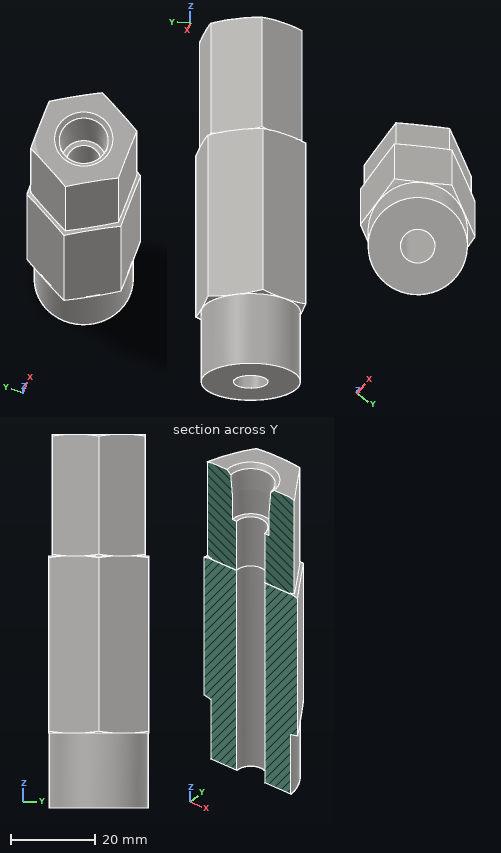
import cadquery as cq
import math

TOTAL_HEIGHT = 88.9
SPIGOT_HEIGHT = 17.9
HOUSING_HEIGHT = 60.0

HEXAGON_SIDES = 6
HOUSING_ACROSS_FLATS = 23.8
NUT_ACROSS_FLATS = 22.2
SPIGOT_DIAMETER = 23.65

CHAMFER_ANGLE = 15.0
CHAMFER_OVERSIZE = 0.45

MOUTH_DIAMETER = 13.9
SOCKET_DIAMETER = 11.65
RELIEF_DIAMETER = 10.7
SOCKET_DEPTH = 7.0
RELIEF_DEPTH = 14.2
THROUGH_DIAMETER = 8.2

MOUTH_DEPTH = (MOUTH_DIAMETER - SOCKET_DIAMETER) / 2


def chamfered_hexagon(across_flats, bottom, top):
    """Hexagonal prism with corners on X, turned to a cone at both ends."""
    corner_diameter = across_flats / math.cos(math.pi / HEXAGON_SIDES)
    corner_radius = corner_diameter / 2
    face_radius = (across_flats + CHAMFER_OVERSIZE) / 2
    drop = (corner_radius - face_radius) * math.tan(math.radians(CHAMFER_ANGLE))

    base = cq.Workplane("XY").workplane(offset=bottom)
    prism = base.polygon(HEXAGON_SIDES, corner_diameter).extrude(top - bottom)
    turned_envelope = (
        cq.Workplane("XZ")
        .moveTo(0, bottom)
        .lineTo(face_radius, bottom)
        .lineTo(corner_radius, bottom + drop)
        .lineTo(corner_radius, top - drop)
        .lineTo(face_radius, top)
        .lineTo(0, top)
        .close()
        .revolve(360, (0, 0, 0), (0, 1, 0))
    )
    return prism.intersect(turned_envelope)


def bore(diameter, bottom, top):
    """Cylinder on the Z axis, used as a cutting tool."""
    return cq.Workplane("XY").workplane(offset=bottom).circle(diameter / 2).extrude(top - bottom)


def make_housing():
    """Hexagonal housing with a round spigot below and a plain through bore."""
    hexagon = chamfered_hexagon(HOUSING_ACROSS_FLATS, SPIGOT_HEIGHT, HOUSING_HEIGHT)
    spigot = cq.Workplane("XY").circle(SPIGOT_DIAMETER / 2).extrude(SPIGOT_HEIGHT)
    return hexagon.union(spigot).cut(bore(THROUGH_DIAMETER, 0, HOUSING_HEIGHT))


def tapered_bore(bottom_diameter, top_diameter, bottom, top):
    """Truncated cone on the Z axis, used as a cutting tool."""
    return (
        cq.Workplane("XY")
        .workplane(offset=bottom)
        .circle(bottom_diameter / 2)
        .workplane(offset=top - bottom)
        .circle(top_diameter / 2)
        .loft()
    )


def make_nut():
    """Hexagonal end piece with a countersunk, tapered socket open at the top."""
    mouth_bottom = TOTAL_HEIGHT - MOUTH_DEPTH
    socket_bottom = TOTAL_HEIGHT - SOCKET_DEPTH
    relief_bottom = TOTAL_HEIGHT - RELIEF_DEPTH

    nut = chamfered_hexagon(NUT_ACROSS_FLATS, HOUSING_HEIGHT, TOTAL_HEIGHT)
    nut = nut.cut(bore(THROUGH_DIAMETER, HOUSING_HEIGHT, TOTAL_HEIGHT))
    nut = nut.cut(bore(RELIEF_DIAMETER, relief_bottom, TOTAL_HEIGHT))
    nut = nut.cut(tapered_bore(RELIEF_DIAMETER, SOCKET_DIAMETER, socket_bottom, mouth_bottom))
    return nut.cut(tapered_bore(SOCKET_DIAMETER, MOUTH_DIAMETER, mouth_bottom, TOTAL_HEIGHT))


housing = make_housing()
nut = make_nut()

result = cq.Compound.makeCompound([housing.val(), nut.val()])